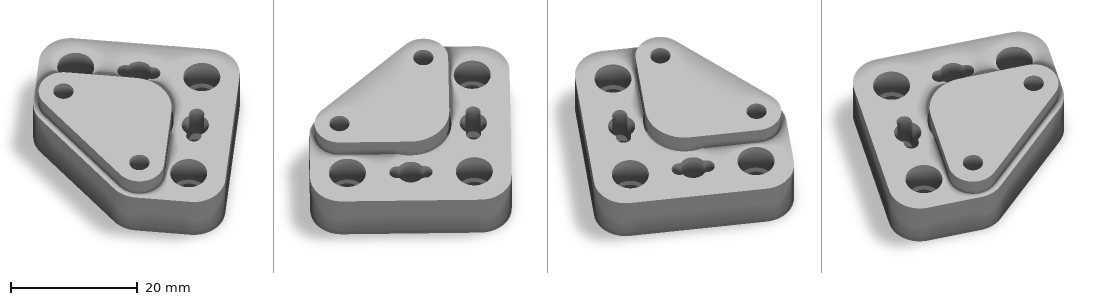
import cadquery as cq
import math

HALF_WIDTH = 20.4
FRONT_EDGE = -11.15
BASE_HEIGHT = 8.0
BASE_CORNER_RADIUS = 5.0

FLANK_HOLE_SPACING = 10.0
SCREW_DIAMETER = 4.2
COUNTERBORE_DIAMETER = 5.85
COUNTERBORE_DEPTH = 5.02
DOWEL_DIAMETER = 4.3
SLOT_WIDTH = 2.4
SLOT_LENGTH = 6.8
SLOT_DEPTH = 6.0

POCKET_DIAMETER = 13.1
POCKET_DEPTH = 6.0

COVER_THICKNESS = 3.0
COVER_END_RADIUS = 3.9
FIXING_DIAMETER = 3.2
FIXING_X = 9.5
FIXING_Y = -6.25

FLANK_ANGLE = 45

CORNER_SETBACK = math.sqrt(2) - 1
SHARP_HALF_WIDTH = HALF_WIDTH + CORNER_SETBACK * BASE_CORNER_RADIUS

FLANK_STEP = FLANK_HOLE_SPACING / math.sqrt(2)
SCREW_POINTS = [(-2 * FLANK_STEP, 0), (0, 2 * FLANK_STEP), (2 * FLANK_STEP, 0)]
FIXING_POINTS = [(-FIXING_X, FIXING_Y), (FIXING_X, FIXING_Y)]

END_MIDDLE_ANGLE = math.radians((-90 + FLANK_ANGLE) / 2)


def make_base_blank():
    front_half_length = SHARP_HALF_WIDTH + FRONT_EDGE
    outline = [
        (-front_half_length, FRONT_EDGE),
        (front_half_length, FRONT_EDGE),
        (SHARP_HALF_WIDTH, 0),
        (0, SHARP_HALF_WIDTH),
        (-SHARP_HALF_WIDTH, 0),
    ]
    blank = cq.Workplane("XY").polyline(outline).close().extrude(BASE_HEIGHT)
    return blank.edges("|Z").fillet(BASE_CORNER_RADIUS)


def cut_slotted_dowel_hole(body, side):
    """Through hole crossed by a blind slot parallel to the nearby rear flank."""
    place = (side * FLANK_STEP, FLANK_STEP)
    body = body.faces(">Z").workplane(origin=(0, 0, BASE_HEIGHT)).center(*place).hole(DOWEL_DIAMETER)
    slot = (
        cq.Workplane("XY", origin=(*place, BASE_HEIGHT))
        .slot2D(SLOT_LENGTH, SLOT_WIDTH, -side * FLANK_ANGLE)
        .extrude(-SLOT_DEPTH)
    )
    return body.cut(slot)


def make_base():
    top_origin = (0, 0, BASE_HEIGHT)
    base = make_base_blank()
    base = (
        base.faces(">Z").workplane(origin=top_origin).pushPoints(SCREW_POINTS)
        .cboreHole(SCREW_DIAMETER, COUNTERBORE_DIAMETER, COUNTERBORE_DEPTH)
    )
    for side in (-1, 1):
        base = cut_slotted_dowel_hole(base, side)
    base = base.faces(">Z").workplane(origin=top_origin).hole(POCKET_DIAMETER, POCKET_DEPTH)
    return base.faces(">Z").workplane(origin=top_origin).pushPoints(FIXING_POINTS).hole(FIXING_DIAMETER)


def make_cover():
    diagonal = math.sqrt(0.5)
    end_tangent_x = FIXING_X + diagonal * COVER_END_RADIUS
    end_tangent_y = FIXING_Y + diagonal * COVER_END_RADIUS
    end_middle_x = FIXING_X + COVER_END_RADIUS * math.cos(END_MIDDLE_ANGLE)
    end_middle_y = FIXING_Y + COVER_END_RADIUS * math.sin(END_MIDDLE_ANGLE)
    cover_front = FIXING_Y - COVER_END_RADIUS

    rear_radius = diagonal * (FIXING_X + FIXING_Y) + COVER_END_RADIUS
    rear_tangent = diagonal * rear_radius

    cover = (
        cq.Workplane("XY", origin=(0, 0, BASE_HEIGHT))
        .moveTo(-FIXING_X, cover_front)
        .lineTo(FIXING_X, cover_front)
        .threePointArc((end_middle_x, end_middle_y), (end_tangent_x, end_tangent_y))
        .lineTo(rear_tangent, rear_tangent)
        .threePointArc((0, rear_radius), (-rear_tangent, rear_tangent))
        .lineTo(-end_tangent_x, end_tangent_y)
        .threePointArc((-end_middle_x, end_middle_y), (-FIXING_X, cover_front))
        .close()
        .extrude(COVER_THICKNESS)
    )
    return cover.faces(">Z").workplane(origin=(0, 0, 0)).pushPoints(FIXING_POINTS).hole(FIXING_DIAMETER)


base = make_base()
cover = make_cover()

result = cq.Compound.makeCompound([base.val(), cover.val()])